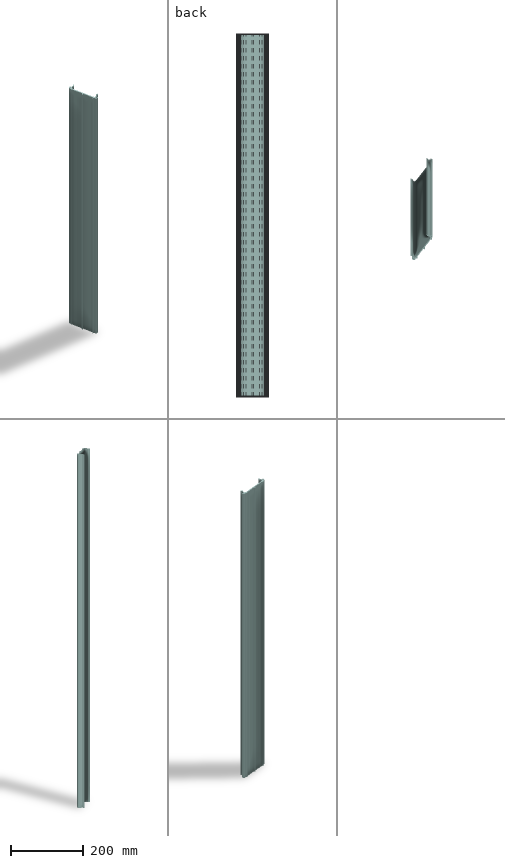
import math

import cadquery as cq

length = 1000.0
width = 87.0

web_bottom_y = -7.3
web_thickness = 2.8
rib_height = 3.3
center_rib_width = 3.0

foot_center_x = 33.0
foot_tip_width = 1.2
foot_flare = 1.0
flare_bulge = 0.2

strip_center_x = 22.0
strip_width = 8.0
strip_height = 0.3

post_root_x = 36.0
post_lean_angle = math.radians(30)
post_lean_start_y = 2.0
post_lean_height = 3.9
post_wall_thickness = 2.1
outer_bend_drop = 1.2
gusset_width = 5.9
gusset_height = 1.2
bead_x = 37.0
bead_y = 9.1
bead_diameter = 3.0
bead_joint_angle = math.radians(35)

lip_top_y = 0.8
lip_thickness = 2.2
lip_outer_radius = 3.5

lip_outer_x = width / 2
lip_inner_x = lip_outer_x - lip_thickness
lip_floor_y = web_bottom_y + lip_thickness
lip_inner_radius = lip_outer_radius - lip_thickness
lip_end_radius = lip_thickness / 2
web_top_y = web_bottom_y + web_thickness
rib_tip_y = web_bottom_y - rib_height
bead_radius = bead_diameter / 2
neck_x = post_root_x - post_lean_height * math.tan(post_lean_angle)
neck_y = post_lean_start_y + post_lean_height
wall_width_x = post_wall_thickness / math.cos(post_lean_angle)
outer_lean_start_y = post_lean_start_y - outer_bend_drop
outer_root_x = post_root_x + wall_width_x + outer_bend_drop * math.tan(post_lean_angle)
foot_inner_x = foot_center_x - foot_tip_width / 2
foot_outer_x = foot_center_x + foot_tip_width / 2
foot_root_x = foot_outer_x + foot_flare
strip_inner_x = strip_center_x - strip_width / 2
strip_outer_x = strip_center_x + strip_width / 2


def corner_arc_middle(center_x, center_y, radius):
    """Middle point of a quarter arc that bulges towards +X and -Y."""
    offset = radius * math.sqrt(0.5)
    return center_x + offset, center_y - offset


def bead_point(angle):
    """Point of the bead at an angle from its inner side, counted over the top."""
    return bead_x - bead_radius * math.cos(angle), bead_y + bead_radius * math.sin(angle)


def add_post(outline):
    """Continue the outline up the inner side of the post and down its outer side."""
    return (
        outline.lineTo(post_root_x - gusset_width, web_top_y)
        .lineTo(post_root_x, web_top_y + gusset_height)
        .lineTo(post_root_x, post_lean_start_y)
        .lineTo(neck_x, neck_y)
        .lineTo(*bead_point(0))
        .threePointArc(bead_point(math.pi / 2), bead_point(math.pi + bead_joint_angle))
        .lineTo(neck_x + wall_width_x, neck_y)
        .lineTo(outer_root_x, outer_lean_start_y)
        .lineTo(outer_root_x, lip_floor_y)
    )


def add_lip(outline):
    """Continue the outline round the J-shaped lip to the underside of the web."""
    bend_x = lip_outer_x - lip_outer_radius
    bend_y = web_bottom_y + lip_outer_radius
    return (
        outline.lineTo(bend_x, lip_floor_y)
        .threePointArc(corner_arc_middle(bend_x, bend_y, lip_inner_radius), (lip_inner_x, bend_y))
        .lineTo(lip_inner_x, lip_top_y - lip_end_radius)
        .threePointArc(
            (lip_inner_x + lip_end_radius, lip_top_y),
            (lip_outer_x, lip_top_y - lip_end_radius),
        )
        .lineTo(lip_outer_x, bend_y)
        .threePointArc(corner_arc_middle(bend_x, bend_y, lip_outer_radius), (bend_x, web_bottom_y))
    )


def add_underside(outline):
    """Continue the outline along the foot, the raised strip and the center rib."""
    flare_middle = (
        (foot_root_x + foot_outer_x) / 2 - flare_bulge,
        (web_bottom_y + rib_tip_y) / 2 + flare_bulge,
    )
    return (
        outline.lineTo(foot_root_x, web_bottom_y)
        .threePointArc(flare_middle, (foot_outer_x, rib_tip_y))
        .lineTo(foot_inner_x, rib_tip_y)
        .lineTo(foot_inner_x, web_bottom_y)
        .lineTo(strip_outer_x, web_bottom_y)
        .lineTo(strip_outer_x, web_bottom_y - strip_height)
        .lineTo(strip_inner_x, web_bottom_y - strip_height)
        .lineTo(strip_inner_x, web_bottom_y)
        .lineTo(center_rib_width / 2, web_bottom_y)
        .lineTo(center_rib_width / 2, rib_tip_y)
        .lineTo(0, rib_tip_y)
    )


half_outline = cq.Workplane("XY").workplane(offset=-length / 2).moveTo(0, web_top_y)
half_outline = add_post(half_outline)
half_outline = add_lip(half_outline)
half_outline = add_underside(half_outline)
half = half_outline.close().extrude(length)
result = half.union(half.mirror("YZ")).clean()